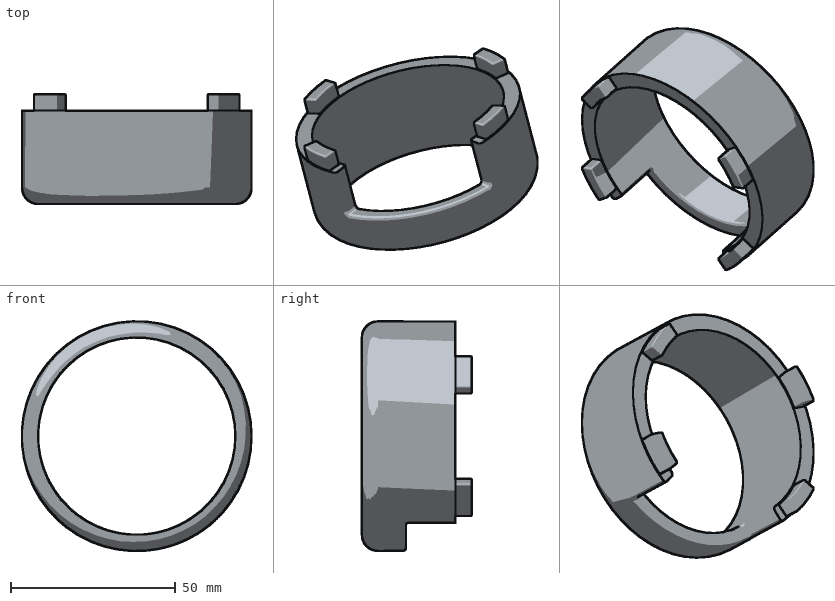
import cadquery as cq
import math

OUTER_RADIUS = 35.0
INNER_RADIUS = 30.0
RING_LENGTH = 28.5
FRONT_ROUND = OUTER_RADIUS - INNER_RADIUS

NOTCH_FLOOR_Y = 13.5
NOTCH_HALF_ANGLE = 40.0
NOTCH_CORNER_RADIUS = 1.0
NOTCH_EDGE_ROUND = 1.0

PEG_LENGTH = 5.0
PEG_RADIAL_CLEARANCE = 0.25
PEG_OUTER_RADIUS = OUTER_RADIUS - PEG_RADIAL_CLEARANCE
PEG_INNER_RADIUS = INNER_RADIUS + PEG_RADIAL_CLEARANCE
PEG_CENTRE_ANGLE = 35.0
PEG_SPAN = 20.0
PEG_EDGE_ROUND = 0.5

BOTTOM_ANGLE = -90.0
TOLERANCE = 0.01
OVERSHOOT = 5.0


def polar(radius, angle):
    """X, Z point at an angle in degrees, measured from +X towards +Z."""
    return radius * math.cos(math.radians(angle)), radius * math.sin(math.radians(angle))


def annular_sector(inner, outer, centre_angle, span, start_y, length):
    """Ring segment around the Y axis, extruded from start_y towards +Y."""
    start = centre_angle - span / 2
    end = centre_angle + span / 2
    return (
        cq.Workplane("XZ", origin=(0, start_y, 0))
        .moveTo(*polar(inner, start))
        .lineTo(*polar(outer, start))
        .threePointArc(polar(outer, centre_angle), polar(outer, end))
        .lineTo(*polar(inner, end))
        .threePointArc(polar(inner, centre_angle), polar(inner, start))
        .close()
        .extrude(-length)
    )


def make_ring():
    """Revolve the wall section; a quarter round joins bore and outside at the front."""
    round_mid = FRONT_ROUND * math.sqrt(0.5)
    return (
        cq.Workplane("XY")
        .moveTo(INNER_RADIUS, 0)
        .threePointArc(
            (INNER_RADIUS + round_mid, FRONT_ROUND - round_mid),
            (OUTER_RADIUS, FRONT_ROUND),
        )
        .lineTo(OUTER_RADIUS, RING_LENGTH)
        .lineTo(INNER_RADIUS, RING_LENGTH)
        .close()
        .revolve(360, (0, 0, 0), (0, 1, 0))
    )


def is_notch_rim(edge):
    """True for edges where the notch walls meet the bore or the outside of the ring."""
    middle = edge.positionAt(0.5)
    radius = math.hypot(middle.x, middle.z)
    on_skin = min(abs(radius - INNER_RADIUS), abs(radius - OUTER_RADIUS)) < TOLERANCE
    inside_length = NOTCH_FLOOR_Y - TOLERANCE < middle.y < RING_LENGTH - TOLERANCE
    at_bottom = middle.z < 0 and abs(middle.x) < abs(middle.z)
    return on_skin and inside_length and at_bottom


def cut_notch(ring):
    """Cut the notch with rounded floor corners, then round its inner and outer rims."""
    cutter = annular_sector(
        INNER_RADIUS - OVERSHOOT,
        OUTER_RADIUS + OVERSHOOT,
        BOTTOM_ANGLE,
        2 * NOTCH_HALF_ANGLE,
        NOTCH_FLOOR_Y,
        RING_LENGTH - NOTCH_FLOOR_Y + OVERSHOOT,
    )
    floor_side_edges = cutter.faces("<Y").edges("%LINE")
    cutter = floor_side_edges.fillet(NOTCH_CORNER_RADIUS)
    notched = ring.cut(cutter)
    rim = [edge for edge in notched.edges().vals() if is_notch_rim(edge)]
    return notched.newObject(rim).fillet(NOTCH_EDGE_ROUND)


def make_peg(centre_angle):
    """Peg standing on the rear face, rounded on its long edges and around its end."""
    peg = annular_sector(
        PEG_INNER_RADIUS, PEG_OUTER_RADIUS, centre_angle, PEG_SPAN, RING_LENGTH, PEG_LENGTH
    )
    peg = peg.edges("|Y").fillet(PEG_EDGE_ROUND)
    return peg.faces(">Y").edges().fillet(PEG_EDGE_ROUND)


result = cut_notch(make_ring())
for side_angle in (0, 180):
    for offset in (-PEG_CENTRE_ANGLE, PEG_CENTRE_ANGLE):
        result = result.union(make_peg(side_angle + offset))